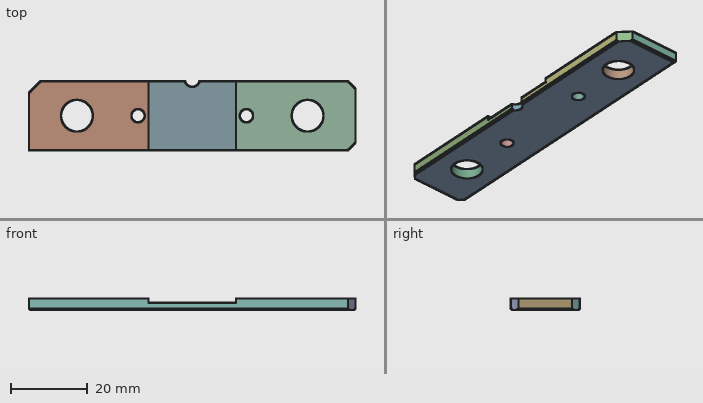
import cadquery as cq

length = 84.99
width = 17.98
thickness = 3.0
bottom_edge_chamfer = 0.4

left_corner_cut = 3.0
right_corner_cut = 2.0

recess_length = 22.75
recess_depth = 1.1

large_hole_diameter = 8.2
large_hole_spacing = 60.0
small_hole_diameter = 3.4
small_hole_spacing = 28.2

notch_radius = 1.9
notch_depth = 1.45

half_length = length / 2
half_width = width / 2


def make_plate():
    """Rectangular plate with the edges of its underside chamfered."""
    plate = cq.Workplane("XY").rect(length, width).extrude(thickness)
    return plate.faces("<Z").edges().chamfer(bottom_edge_chamfer)


def make_corner_cut(side_x, side_y, size):
    """Triangular prism at the corner on the given sides (+1 or -1), cutting it at 45 degrees."""
    corner_x = side_x * half_length
    corner_y = side_y * half_width
    triangle = [
        (corner_x, corner_y),
        (corner_x - side_x * size, corner_y),
        (corner_x, corner_y - side_y * size),
    ]
    return cq.Workplane("XY").polyline(triangle).close().extrude(thickness)


def make_recess():
    """Block that lowers the top of the middle section across the full width."""
    recess_floor = cq.Workplane("XY").workplane(offset=thickness - recess_depth)
    return recess_floor.rect(recess_length, width).extrude(recess_depth)


def make_hole_pair(diameter, spacing):
    """Two through-hole cylinders placed symmetrically on the centreline."""
    centres = [(-spacing / 2, 0), (spacing / 2, 0)]
    return cq.Workplane("XY").pushPoints(centres).circle(diameter / 2).extrude(thickness)


def make_notch():
    """Cylinder that bites into the +Y edge at mid-length."""
    centre_y = half_width - notch_depth + notch_radius
    return cq.Workplane("XY").center(0, centre_y).circle(notch_radius).extrude(thickness)


result = (
    make_plate()
    .cut(make_corner_cut(-1, 1, left_corner_cut))
    .cut(make_corner_cut(1, 1, right_corner_cut))
    .cut(make_corner_cut(1, -1, right_corner_cut))
    .cut(make_recess())
    .cut(make_hole_pair(large_hole_diameter, large_hole_spacing))
    .cut(make_hole_pair(small_hole_diameter, small_hole_spacing))
    .cut(make_notch())
)